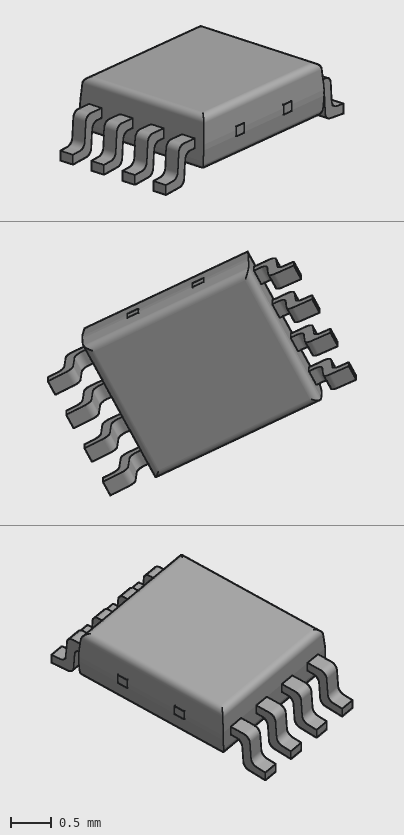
import cadquery as cq
import math

HOUSING_WIDTH = 2.0
HOUSING_LENGTH = 2.3
HOUSING_BOTTOM = 0.177
HOUSING_TOP = 0.9
EDGE_RADIUS = 0.1
SIDE_DRAFT_ABOVE = 4
SIDE_DRAFT_BELOW = 5
END_DRAFT_ABOVE = 5
END_DRAFT_BELOW = 10
SIDE_BAND_BOTTOM = 0.46
SIDE_BAND_TOP = 0.537
END_BAND_BOTTOM = 0.305

LEADS_PER_ROW = 4
LEAD_PITCH = 0.5
LEAD_WIDTH = 0.205
SHEET_THICKNESS = 0.133
LEAD_TOP = 0.58
LEAD_SPAN = 3.4
LEAD_SHOULDER = 1.45
LEAD_BEND_RADIUS = 0.1
LEAD_TILT = 4

TIE_BAR_WIDTH = 0.153
TIE_BAR_OFFSET = 0.452
PAD_WIDTH = 1.36

END_BAND_TOP = LEAD_TOP
SHEET_BOTTOM = LEAD_TOP - SHEET_THICKNESS
PAD_LENGTH = 2 * TIE_BAR_OFFSET + TIE_BAR_WIDTH


def drafted_prism(plane, width, band_bottom, band_top, draft_below, draft_above, depth):
    """Symmetric profile with an upright band, drafted above and below it, extruded both ways."""
    half = width / 2
    half_bottom = half - math.tan(math.radians(draft_below)) * (band_bottom - HOUSING_BOTTOM)
    half_top = half - math.tan(math.radians(draft_above)) * (HOUSING_TOP - band_top)
    outline = [
        (-half_bottom, HOUSING_BOTTOM),
        (half_bottom, HOUSING_BOTTOM),
        (half, band_bottom),
        (half, band_top),
        (half_top, HOUSING_TOP),
        (-half_top, HOUSING_TOP),
        (-half, band_top),
        (-half, band_bottom),
    ]
    return cq.Workplane(plane).polyline(outline).close().extrude(depth / 2, both=True)


def make_housing(die_pad):
    """Block drafted on all four sides, rounded at both rims, moulded around the die pad."""
    across = drafted_prism(
        "XZ", HOUSING_WIDTH, SIDE_BAND_BOTTOM, SIDE_BAND_TOP,
        SIDE_DRAFT_BELOW, SIDE_DRAFT_ABOVE, HOUSING_LENGTH,
    )
    along = drafted_prism(
        "YZ", HOUSING_LENGTH, END_BAND_BOTTOM, END_BAND_TOP,
        END_DRAFT_BELOW, END_DRAFT_ABOVE, HOUSING_WIDTH,
    )
    block = across.intersect(along)
    block = block.edges("<Z or >Z").fillet(EDGE_RADIUS)
    return block.cut(die_pad)


def make_die_pad():
    """Flat pad inside the housing with two tie bars running out to each side."""
    pad = cq.Workplane("XY").box(PAD_WIDTH, PAD_LENGTH, SHEET_THICKNESS, centered=(True, True, False))
    tie_bars = (
        cq.Workplane("XY")
        .pushPoints([(0, -TIE_BAR_OFFSET), (0, TIE_BAR_OFFSET)])
        .box(HOUSING_WIDTH, TIE_BAR_WIDTH, SHEET_THICKNESS, centered=(True, True, False))
    )
    return pad.union(tie_bars).translate((0, 0, SHEET_BOTTOM))


def shank_foot_corner(shoulder, foot_height_at_tip):
    """Corner where a tilted shank line from the shoulder meets a tilted foot line from the tip."""
    tip = LEAD_SPAN / 2
    slope = math.tan(math.radians(LEAD_TILT))
    y = (shoulder + slope * (LEAD_TOP - foot_height_at_tip - slope * tip)) / (1 - slope**2)
    return y, foot_height_at_tip + slope * (tip - y)


def make_lead(x, side):
    """Gull-wing lead from the housing end out to its tip; side is +1 or -1 along Y."""
    root = HOUSING_LENGTH / 2
    tip = LEAD_SPAN / 2
    slope = math.tan(math.radians(LEAD_TILT))
    skew_thickness = SHEET_THICKNESS / math.cos(math.radians(LEAD_TILT))
    inner_shoulder = LEAD_SHOULDER - skew_thickness
    outline = [
        (root, LEAD_TOP),
        (LEAD_SHOULDER, LEAD_TOP),
        shank_foot_corner(LEAD_SHOULDER, skew_thickness),
        (tip, skew_thickness),
        (tip, 0),
        shank_foot_corner(inner_shoulder, 0),
        (inner_shoulder + slope * SHEET_THICKNESS, SHEET_BOTTOM),
        (root, SHEET_BOTTOM),
    ]
    strip = cq.Workplane("YZ").polyline(outline).close().extrude(LEAD_WIDTH / 2, both=True)
    bend_zone = cq.selectors.BoxSelector(
        (-LEAD_WIDTH, root + LEAD_BEND_RADIUS / 2, -LEAD_TOP),
        (LEAD_WIDTH, tip - LEAD_BEND_RADIUS / 2, 2 * LEAD_TOP),
    )
    lead = strip.edges("|X").edges(bend_zone).fillet(LEAD_BEND_RADIUS)
    if side < 0:
        lead = lead.mirror("XZ")
    return lead.translate((x, 0, 0))


die_pad = make_die_pad()
housing = make_housing(die_pad)
leads = []
for side in (-1, 1):
    for index in range(LEADS_PER_ROW):
        x = (index - (LEADS_PER_ROW - 1) / 2) * LEAD_PITCH
        leads.append(make_lead(x, side))

result = cq.Compound.makeCompound([housing.val(), die_pad.val(), *[lead.val() for lead in leads]])